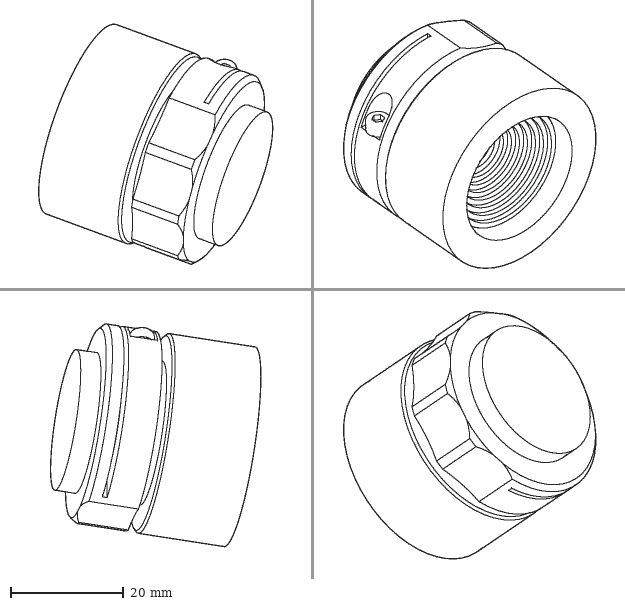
import cadquery as cq
import math

outer_radius = 18.0
total_length = 31.65

drum_length = 16.1
drum_chamfer = 0.45
neck_radius = 12.95
tube_radius = 12.67

collar_start = 18.0
collar_end = 27.97
collar_chamfer = 0.95

scallop_count = 5
scallop_pitch_angle = 35.0
scallop_span_angle = 29.2
scallop_mid_radius = 17.0
scallop_clear_radius = 19.8

slot_start = 24.1
slot_end = 24.95

mouth_radius = 12.4
mouth_depth = 4.0
lip_radius = 12.0
undercut_depth = 1.0
step_count = 7
step_size = 1.0
first_step_radius = lip_radius - step_size
pilot_radius = 3.7

screw_x = (collar_start + slot_start) / 2
screw_y = 15.0
screw_seat_z = 6.25
head_radius = 2.25
head_height = 2.5
head_fillet = 0.3
shank_radius = 1.25
shank_length = 7.92
socket_across_flats = 2.0
socket_depth = 1.0
socket_cone_depth = 0.58
pocket_radius = 2.5


def disc(start, end, radius):
    """Cylinder on the X axis from X = start to X = end."""
    return cq.Workplane("YZ", origin=(start, 0, 0)).circle(radius).extrude(end - start)


def tube(start, end, outside, inside):
    """Hollow cylinder on the X axis."""
    return disc(start, end, outside).cut(disc(start, end, inside))


def rim_point(radius, angle_from_front):
    """Point in the YZ plane, with the angle in degrees measured from -Y towards +Z."""
    angle = math.radians(angle_from_front)
    return (-radius * math.cos(angle), radius * math.sin(angle))


def make_scallop(centre_angle):
    """Cutter for one shallow concave grip scallop along the collar."""
    half_span = scallop_span_angle / 2
    return (
        cq.Workplane("YZ", origin=(collar_start, 0, 0))
        .moveTo(*rim_point(outer_radius, centre_angle - half_span))
        .threePointArc(
            rim_point(scallop_mid_radius, centre_angle),
            rim_point(outer_radius, centre_angle + half_span),
        )
        .lineTo(*rim_point(scallop_clear_radius, centre_angle + half_span))
        .lineTo(*rim_point(scallop_clear_radius, centre_angle - half_span))
        .close()
        .extrude(collar_end - collar_start)
    )


def make_screw_pocket():
    """Round-ended pocket, open upwards and towards +Y, seating the screw head."""
    pocket_height = outer_radius - screw_seat_z
    seat = cq.Workplane("XY", origin=(screw_x, screw_y, screw_seat_z))
    round_end = seat.circle(pocket_radius).extrude(pocket_height)
    open_side = seat.rect(2 * pocket_radius, outer_radius).extrude(pocket_height)
    open_side = open_side.translate((0, outer_radius / 2, 0))
    return round_end.union(open_side)


def make_shank():
    """Screw shank below the seat; it also serves as the cutter for its hole."""
    seat = cq.Workplane("XY", origin=(screw_x, screw_y, screw_seat_z))
    return seat.circle(shank_radius).extrude(-shank_length)


def make_collar():
    """Collar with grip scallops, half-round relief slot and the seat for the clamp screw."""
    blank = disc(collar_start, collar_end, outer_radius).faces(">X").chamfer(collar_chamfer)
    collar = blank.cut(disc(collar_start, collar_end, tube_radius))
    for index in range(scallop_count):
        centre_angle = (index - (scallop_count - 1) / 2) * scallop_pitch_angle
        collar = collar.cut(make_scallop(centre_angle))
    rear_half = cq.Workplane("XY").box(
        total_length, outer_radius, 2 * outer_radius, centered=(False, False, True)
    )
    slot = tube(slot_start, slot_end, outer_radius, tube_radius).intersect(rear_half)
    return collar.cut(slot).cut(make_screw_pocket()).cut(make_shank())


def make_bore():
    """Mouth with a narrow undercut around its floor, then equal steps down to the pilot."""
    bore = disc(0, mouth_depth, mouth_radius)
    bore = bore.union(tube(0, mouth_depth + undercut_depth, mouth_radius, lip_radius))
    for index in range(step_count):
        step_end = mouth_depth + (index + 1) * step_size
        bore = bore.union(disc(0, step_end, first_step_radius - index * step_size))
    pilot_end = mouth_depth + (step_count + 1) * step_size
    return bore.union(disc(0, pilot_end, pilot_radius))


def make_barrel():
    """Drum, neck and rear tube in one piece, with the stepped bore in the open end."""
    drum = disc(0, drum_length, outer_radius).faces(">X").chamfer(drum_chamfer)
    neck = disc(0, collar_start, neck_radius)
    rear_tube = disc(0, total_length, tube_radius)
    return drum.union(neck).union(rear_tube).cut(make_bore())


def make_socket():
    """Hexagonal key socket with a conical floor."""
    corner_diameter = socket_across_flats / math.cos(math.pi / 6)
    head_top = cq.Workplane("XY", origin=(screw_x, screw_y, screw_seat_z + head_height))
    hexagon = head_top.polygon(6, corner_diameter).extrude(-socket_depth - socket_cone_depth)
    drill_tip = (
        cq.Workplane("XZ", origin=(screw_x, screw_y, screw_seat_z + head_height))
        .lineTo(corner_diameter / 2, 0)
        .lineTo(corner_diameter / 2, -socket_depth)
        .lineTo(0, -socket_depth - socket_cone_depth)
        .close()
        .revolve(360, (0, 0, 0), (0, 1, 0))
    )
    return hexagon.intersect(drill_tip)


def make_screw():
    seat = cq.Workplane("XY", origin=(screw_x, screw_y, screw_seat_z))
    head = seat.circle(head_radius).extrude(head_height).faces(">Z").edges().fillet(head_fillet)
    return head.union(make_shank()).cut(make_socket())


barrel = make_barrel()
clamp_collar = make_collar()
clamp_screw = make_screw()

bodies = (barrel, clamp_collar, clamp_screw)
result = cq.Compound.makeCompound([body.solids().val() for body in bodies])